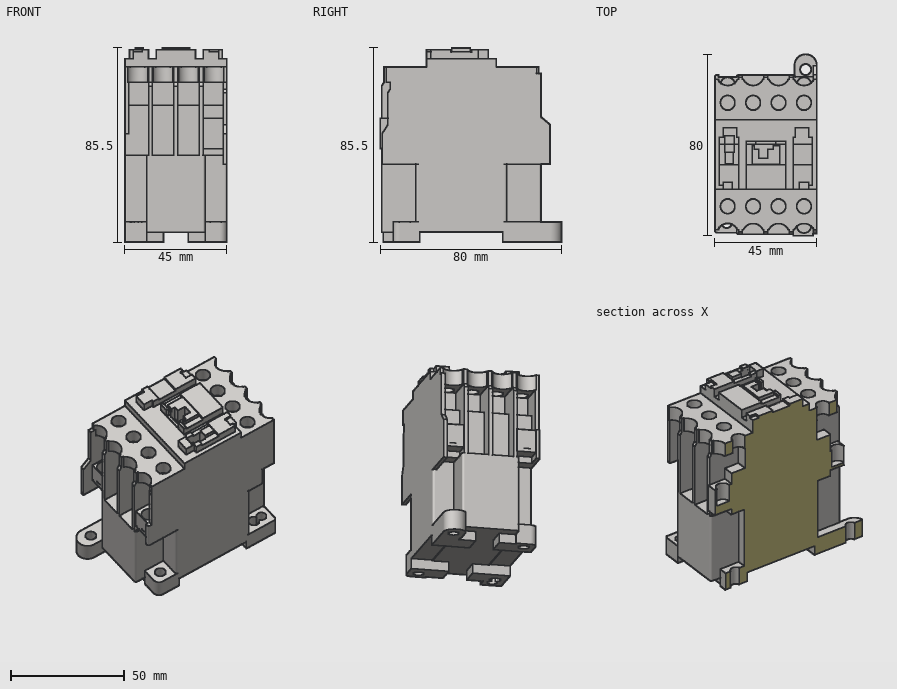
import cadquery as cq

HALF_WIDTH = 22.5
PITCH = 11.2
BODY_REAR = 35.1
SHOULDER_REAR = 33.2
RIB_TOP_REAR = 34.1
FRONT = -1
REAR = 1
LEFT = -1
RIGHT = 1
POLE_CENTERS = [(i - 1.5) * PITCH for i in range(4)]

FOOT_TOP = 8.9
BASE = 4.3
SIDE_BASE = 4.6
HOUSING_BOTTOM = 38.3
LEDGE = 60.2
ARCH_BOTTOM = 70.4
RIB_CHAMFER_BOTTOM = 68.7
SHOULDER = 77.2
DECK = 80.8
CAP_TOP = 84.7
RECESS_FLOOR = 83.8
TOP = 85.5

COLUMN_HALF = 12.9
WAIST_REAR = 20.0
CORNER_RADIUS = 1.0

RIB_WIDTH = 1.7
RIB_INNER = 10.35
RIB_OUTER = 12.0
SIDE_WALL = 1.7
WALL_INNER = HALF_WIDTH - SIDE_WALL
SLOT_BACK = 26.85
CAVITY_BACK = 19.6
ARCH_RADIUS = 4.745
SCREW_DIAMETER = 6.4
SCREW_Y = 22.8
SCREW_DEPTH = 6.8

WALL_STEP = 47.8
LEFT_WALL_REAR_TOP = 51.4
RIGHT_WALL_BOTTOM = 34.4
RIGHT_WALL_ROOT = 17.1
RIGHT_WALL_STEP = 51.7
RIGHT_WALL_NECK = 31.4
RIGHT_WALL_MIDDLE = 32.3
RIGHT_WALL_FLAP = 34.9
RIGHT_WALL_WING = 39.2
NECK_BOTTOM = 67.4
NECK_SLOPE_BOTTOM = 65.75
WING_SLOPE_TOP = 55.15
RIGHT_WALL_REAR_TOP = 74.3

TERMINAL_BOTTOM = 41.2
FRONT_TERMINAL_TOP = 54.6
REAR_TERMINAL_TOP = LEFT_WALL_REAR_TOP
TERMINAL_HOLE_DEPTH = 8.55
FRONT_TERMINAL_REACH = 35.8
FRONT_TERMINAL_HOLE_Y = 31.4
REAR_TERMINAL_REACH = 34.2
REAR_TERMINAL_HOLE_Y = 30.8

FOOT_INNER_Y = 18.2
LONG_FOOT_REACH = 34.45
SHORT_FOOT_REACH = 30.1
SHORT_FOOT_RADIUS = 3.0
RAIL_PAD_INNER_X = 5.4
RAIL_PAD_REACH = 29.1
FOOT_HOLE_X = 17.5
FOOT_HOLE_Y = 25.0
FOOT_HOLE_RADIUS = 2.4
KEYHOLE_WIDE_Y = 25.7
KEYHOLE_WIDE_RADIUS = 2.5
KEYHOLE_NARROW_X = 17.3
KEYHOLE_NARROW_Y = 30.1
KEYHOLE_NARROW_RADIUS = 2.2
EAR_RADIUS = 5.0
EAR_CENTER_Y = 39.25
EAR_HOLE_Y = 37.45

DECK_REAR = 15.4
RECESS_REAR = 4.5
CAP_STEM_REAR = 11.9
CAP_WIDE_REAR = 7.5
CAP_WIDE_FRONT = -13.4
CAP_OUTER = 20.5
CAP_STEM_OUTER = 18.8
CAP_INNER = 12.0
CAP_STEM_REAR_INNER = 12.9
CAP_NOTCH_INNER = 14.7
CAP_NOTCH_REAR = -12.1
CENTER_CAP_HALF = 8.7
CENTER_CAP_REAR = 5.8
RIM_GAP_HALF = 4.45
RIM_GAP_FLOOR = 81.05
WELL_FLOOR = 77.8

PLATE_HALF = 6.1
PLATE_FRONT = -4.3
PLATE_REAR = 3.9
PLATE_SLOT_WIDE = (-5.1, 3.2)
PLATE_SLOT_NARROW = (-3.2, 0.85)
PLATE_SLOT_STEP_Y = 2.2
PLATE_SLOT_FRONT = -1.6

WELL_X = (-18.2, -13.9)
WELL_REAR = 8.2
WELL_REAR_FLOOR = 79.5
BUTTON_X = (-17.9, -14.3)
BUTTON_Y = (-4.0, 0.9)


def block(x_range, y_range, z_range):
    """Box given by its limits along each axis, in either order."""
    (x0, x1), (y0, y1), (z0, z1) = sorted(x_range), sorted(y_range), sorted(z_range)
    return cq.Workplane("XY").box(x1 - x0, y1 - y0, z1 - z0, centered=False).translate((x0, y0, z0))


def cylinder(x, y, radius, z0, z1):
    """Upright cylinder between two levels."""
    return cq.Workplane("XY", origin=(x, y, z0)).circle(radius).extrude(z1 - z0)


def side_profile(points, x0, x1):
    """Outline of (y, z) points extruded along X."""
    return cq.Workplane("YZ", origin=(x0, 0, 0)).polyline(points).close().extrude(x1 - x0)


def make_housing():
    """Upper housing, waist and centre column, with the deck on top."""
    full_x = (-HALF_WIDTH, HALF_WIDTH)
    upper = block(full_x, (-SHOULDER_REAR, SHOULDER_REAR), (HOUSING_BOTTOM, SHOULDER))
    deck = block(full_x, (-DECK_REAR, DECK_REAR), (SHOULDER, DECK))
    waist = block(full_x, (-WAIST_REAR, WAIST_REAR), (SIDE_BASE, HOUSING_BOTTOM))
    waist = waist.edges("|Z").fillet(CORNER_RADIUS)
    column = block((-COLUMN_HALF, COLUMN_HALF), (-BODY_REAR, BODY_REAR), (BASE, HOUSING_BOTTOM))
    column = column.edges("|Z").fillet(CORNER_RADIUS)
    return upper.union(deck).union(waist).union(column)


def make_ribs():
    """Three ribs between the poles, chamfered back at the top of both ends."""
    half_outline = [
        (BODY_REAR, HOUSING_BOTTOM),
        (BODY_REAR, RIB_CHAMFER_BOTTOM),
        (RIB_TOP_REAR, ARCH_BOTTOM),
        (RIB_TOP_REAR, SHOULDER),
    ]
    outline = half_outline + [(-y, z) for y, z in reversed(half_outline)]
    ribs = side_profile(outline, -RIB_WIDTH / 2, RIB_WIDTH / 2)
    ribs = ribs.union(side_profile(outline, RIB_INNER, RIB_OUTER))
    return ribs.union(side_profile(outline, -RIB_OUTER, -RIB_INNER))


def make_pole_cuts(end):
    """Slots, arches and screw holes of the four poles at one end."""
    slots = [
        (-WALL_INNER, -RIB_OUTER),
        (-RIB_INNER, -RIB_WIDTH / 2),
        (RIB_WIDTH / 2, RIB_INNER),
        (RIB_OUTER, WALL_INNER),
    ]
    cuts = cq.Workplane("XY")
    for slot_x, center in zip(slots, POLE_CENTERS):
        slot = block(slot_x, (end * SLOT_BACK, end * BODY_REAR), (HOUSING_BOTTOM, LEDGE))
        cavity = block(slot_x, (end * CAVITY_BACK, end * BODY_REAR), (LEDGE, ARCH_BOTTOM))
        arch = cylinder(center, end * BODY_REAR, ARCH_RADIUS, ARCH_BOTTOM, SHOULDER)
        screw = cylinder(center, end * SCREW_Y, SCREW_DIAMETER / 2, SHOULDER - SCREW_DEPTH, SHOULDER)
        cuts = cuts.add(slot.union(cavity).union(arch).union(screw))
    return cuts.combine()


def shape_left_wall(body):
    """Step the left wall back at the front and bring it out at the rear."""
    wall_x = (-HALF_WIDTH, -WALL_INNER)
    step_z = (HOUSING_BOTTOM, WALL_STEP)
    step = block(wall_x, (-SLOT_BACK, -BODY_REAR), step_z)
    rear = block(wall_x, (SLOT_BACK, BODY_REAR), (HOUSING_BOTTOM, LEFT_WALL_REAR_TOP))
    rear = rear.edges("|Z and >Y and <X").fillet(CORNER_RADIUS)
    return body.cut(step).union(rear)


def shape_right_wall(body):
    """Replace the right wall by plates with sloped steps that hang below the housing."""
    old_wall = block((WALL_INNER, HALF_WIDTH), (-SLOT_BACK, -BODY_REAR), (HOUSING_BOTTOM, ARCH_BOTTOM))
    front = [
        (-RIGHT_WALL_ROOT, ARCH_BOTTOM),
        (-RIGHT_WALL_NECK, ARCH_BOTTOM),
        (-RIGHT_WALL_NECK, NECK_BOTTOM),
        (-RIGHT_WALL_MIDDLE, NECK_SLOPE_BOTTOM),
        (-RIGHT_WALL_MIDDLE, RIGHT_WALL_STEP),
        (-RIGHT_WALL_FLAP, WALL_STEP),
        (-RIGHT_WALL_FLAP, RIGHT_WALL_BOTTOM),
        (-RIGHT_WALL_ROOT, RIGHT_WALL_BOTTOM),
    ]
    rear = [
        (RIGHT_WALL_ROOT, RIGHT_WALL_REAR_TOP),
        (BODY_REAR, RIGHT_WALL_REAR_TOP),
        (BODY_REAR, WING_SLOPE_TOP),
        (RIGHT_WALL_WING, RIGHT_WALL_STEP),
        (RIGHT_WALL_WING, RIGHT_WALL_BOTTOM),
        (RIGHT_WALL_ROOT, RIGHT_WALL_BOTTOM),
    ]
    body = body.cut(old_wall)
    for outline in (front, rear):
        body = body.union(side_profile(outline, WALL_INNER, HALF_WIDTH))
    return body


def make_terminal(side, end, reach, top, hole_y):
    """Terminal block in an outer slot, with a blind hole from above."""
    terminal = block(
        (side * RIB_OUTER, side * WALL_INNER),
        (end * SLOT_BACK, end * reach),
        (TERMINAL_BOTTOM, top),
    )
    hole_x = side * POLE_CENTERS[-1]
    hole = cylinder(hole_x, end * hole_y, SCREW_DIAMETER / 2, top - TERMINAL_HOLE_DEPTH, top)
    return terminal.cut(hole)


def make_foot(side, end, reach, radius):
    """Corner foot, rounded on its outer corner, with a low pad beside the mounting rail."""
    foot = block(
        (side * COLUMN_HALF, side * HALF_WIDTH),
        (end * FOOT_INNER_Y, end * reach),
        (0, FOOT_TOP),
    )
    outer_corner = "|Z and {}X and {}Y".format("<>"[side > 0], "<>"[end > 0])
    foot = foot.edges(outer_corner).fillet(radius)
    pad = block(
        (side * RAIL_PAD_INNER_X, side * COLUMN_HALF),
        (end * FOOT_INNER_Y, end * RAIL_PAD_REACH),
        (0, BASE),
    )
    return foot.union(pad)


def make_ear_foot():
    """Rear right foot, extended into a round-ended mounting ear."""
    foot = block((COLUMN_HALF, HALF_WIDTH), (FOOT_INNER_Y, BODY_REAR), (0, FOOT_TOP))
    pad = block((RAIL_PAD_INNER_X, COLUMN_HALF), (FOOT_INNER_Y, RAIL_PAD_REACH), (0, BASE))
    center_x = HALF_WIDTH - EAR_RADIUS
    ear = block((center_x - EAR_RADIUS, HALF_WIDTH), (SHORT_FOOT_REACH, EAR_CENTER_Y), (0, FOOT_TOP))
    tip = cylinder(center_x, EAR_CENTER_Y, EAR_RADIUS, 0, FOOT_TOP)
    hole = cylinder(center_x, EAR_HOLE_Y, FOOT_HOLE_RADIUS, 0, FOOT_TOP)
    return foot.union(pad).union(ear).union(tip).cut(hole)


def make_foot_holes():
    """Round holes in two opposite feet and a keyhole in the front left one."""
    wide = cylinder(-FOOT_HOLE_X, -KEYHOLE_WIDE_Y, KEYHOLE_WIDE_RADIUS, 0, FOOT_TOP)
    narrow = cylinder(-KEYHOLE_NARROW_X, -KEYHOLE_NARROW_Y, KEYHOLE_NARROW_RADIUS, 0, FOOT_TOP)
    holes = wide.union(narrow)
    for side in (LEFT, RIGHT):
        hole = cylinder(side * FOOT_HOLE_X, -side * FOOT_HOLE_Y, FOOT_HOLE_RADIUS, 0, FOOT_TOP)
        holes = holes.union(hole)
    return holes


def make_side_cap(side):
    """Stepped cap along one side of the deck, with a notch at its front edge."""
    cap_z = (DECK, CAP_TOP)
    rear_stem = block(
        (side * CAP_STEM_REAR_INNER, side * CAP_STEM_OUTER),
        (CAP_WIDE_REAR, CAP_STEM_REAR),
        cap_z,
    )
    wide = block((side * CAP_INNER, side * CAP_OUTER), (CAP_WIDE_FRONT, CAP_WIDE_REAR), cap_z)
    front_stem = block((side * CAP_INNER, side * CAP_STEM_OUTER), (-DECK_REAR, CAP_WIDE_FRONT), cap_z)
    notch = block(
        (side * CAP_NOTCH_INNER, side * CAP_STEM_OUTER),
        (-DECK_REAR, CAP_NOTCH_REAR),
        (RECESS_FLOOR, CAP_TOP),
    )
    return rear_stem.union(wide).union(front_stem).cut(notch)


def add_caps(body):
    """Side caps and centre cap, with one recess running across all of them."""
    center = block((-CENTER_CAP_HALF, CENTER_CAP_HALF), (-DECK_REAR, CENTER_CAP_REAR), (DECK, CAP_TOP))
    rim_gap = block((-RIM_GAP_HALF, RIM_GAP_HALF), (RECESS_REAR, CENTER_CAP_REAR), (RIM_GAP_FLOOR, CAP_TOP))
    recess = block((-HALF_WIDTH, HALF_WIDTH), (-RECESS_REAR, RECESS_REAR), (RECESS_FLOOR, CAP_TOP))
    caps = center.cut(rim_gap).union(make_side_cap(LEFT)).union(make_side_cap(RIGHT))
    return body.union(caps.cut(recess))


def add_indicator_plate(body):
    """Raised plate in the centre cap, with a T-shaped slot open to the rear."""
    plate = block((-PLATE_HALF, PLATE_HALF), (PLATE_FRONT, PLATE_REAR), (RECESS_FLOOR, TOP))
    wide = block(PLATE_SLOT_WIDE, (PLATE_SLOT_STEP_Y, RECESS_REAR), (WELL_FLOOR, TOP))
    narrow = block(PLATE_SLOT_NARROW, (PLATE_SLOT_FRONT, PLATE_SLOT_STEP_Y), (WELL_FLOOR, TOP))
    return body.union(plate).cut(wide).cut(narrow)


def add_slider(body):
    """Stepped slider well and raised button of the left cap."""
    deep_well = block(WELL_X, (BUTTON_Y[1], RECESS_REAR), (WELL_FLOOR, TOP))
    rear_well = block(WELL_X, (RECESS_REAR, WELL_REAR), (WELL_REAR_FLOOR, TOP))
    button = block(BUTTON_X, BUTTON_Y, (RECESS_FLOOR, TOP))
    return body.cut(deep_well).cut(rear_well).union(button)


result = make_housing().union(make_ribs())
for end in (FRONT, REAR):
    result = result.cut(make_pole_cuts(end))
result = shape_left_wall(result)
result = shape_right_wall(result)

front_terminal = (FRONT_TERMINAL_REACH, FRONT_TERMINAL_TOP, FRONT_TERMINAL_HOLE_Y)
rear_terminal = (REAR_TERMINAL_REACH, REAR_TERMINAL_TOP, REAR_TERMINAL_HOLE_Y)
result = result.union(make_terminal(RIGHT, FRONT, *front_terminal))
for side in (LEFT, RIGHT):
    result = result.union(make_terminal(side, REAR, *rear_terminal))

result = result.union(make_foot(LEFT, FRONT, LONG_FOOT_REACH, CORNER_RADIUS))
result = result.union(make_foot(RIGHT, FRONT, SHORT_FOOT_REACH, SHORT_FOOT_RADIUS))
result = result.union(make_foot(LEFT, REAR, SHORT_FOOT_REACH, SHORT_FOOT_RADIUS))
result = result.union(make_ear_foot())
result = result.cut(make_foot_holes())

result = add_caps(result)
result = add_indicator_plate(result)
result = add_slider(result)